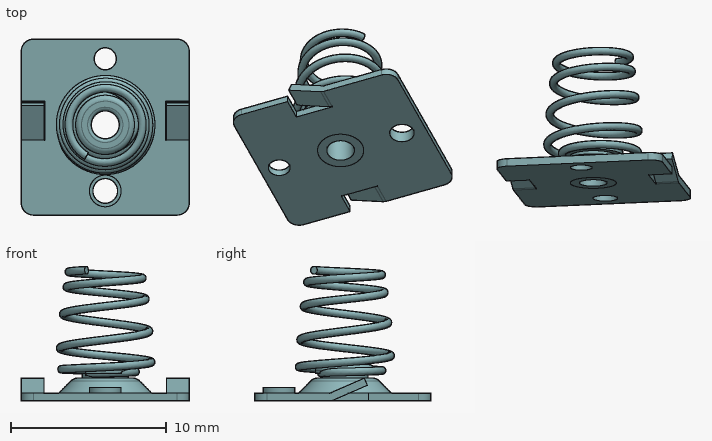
import cadquery as cq
import math

PLATE_WIDTH = 10.79
PLATE_DEPTH = 11.3
PLATE_THICKNESS = 0.5
CORNER_RADIUS = 0.8

AXIS_Y = 0.15

BOSS_BASE_RADIUS = 3.0
BOSS_TOP_Z = 1.48
BOSS_TOP_RADIUS = BOSS_BASE_RADIUS - (BOSS_TOP_Z - PLATE_THICKNESS)
BOSS_EDGE_RADIUS = 0.68

SIDE_HOLE_OFFSET = 4.24
LOCATING_HOLE_DIAMETER = 1.4
COLLAR_DIAMETER = 2.03
COLLAR_HOLE_DIAMETER = 1.57
COLLAR_TOP_Z = 0.87

NOTCH_WIDTH = 1.51
TAB_WIDTH = 1.47
TAB_HINGE_Y = -0.84
NOTCH_END_Y = 1.65
TAB_LENGTH = 2.42
TAB_ANGLE = math.radians(23.5)

SHANK_DIAMETER = 2.96
BORE_DIAMETER = 1.77
BORE_MOUTH_DIAMETER = 2.26
HEAD_DIAMETER = 3.81
HEAD_BOTTOM_Z = 1.77
HEAD_RIM_HEIGHT = 0.18
HEAD_EDGE_RADIUS = 0.38

WIRE_DIAMETER = 0.5
SPRING_START_ANGLE = 212.0
END_COIL_SWEEP = 360.0
MAIN_COIL_SWEEP = 1467.0
END_COIL_START_RADIUS = 1.22
END_COIL_START_Z = 1.73
COIL_BOTTOM_RADIUS = 2.94
COIL_BOTTOM_Z = 2.06
COIL_TOP_RADIUS = 2.33
COIL_TOP_Z = 8.63 - WIRE_DIAMETER / 2
COIL_BOTTOM_RISE_SLOPE = 2.42
COIL_TOP_RISE_SLOPE = 2.62
COIL_BOTTOM_RADIUS_SLOPE = 0.23
COIL_TOP_RADIUS_SLOPE = 0.0
MIDDLE_LIFT = 0.63
POINT_STEP = 30.0


def axis_cylinder(diameter, y, bottom_z, top_z):
    """Upright cylinder at x = 0."""
    return (
        cq.Workplane("XY", origin=(0, y, bottom_z))
        .circle(diameter / 2)
        .extrude(top_z - bottom_z)
    )


def make_boss():
    """Solid truncated cone with a rounded upper edge."""
    profile = (
        cq.Workplane("XZ")
        .polyline([
            (0, 0),
            (BOSS_BASE_RADIUS, 0),
            (BOSS_BASE_RADIUS, PLATE_THICKNESS),
            (BOSS_TOP_RADIUS, BOSS_TOP_Z),
            (0, BOSS_TOP_Z),
        ])
        .close()
    )
    boss = profile.revolve(360, (0, 0), (0, 1))
    return boss.faces(">Z").edges().fillet(BOSS_EDGE_RADIUS).translate((0, AXIS_Y, 0))


def make_tab(side):
    """Tab tilted up about its hinge line; side is -1 or 1 along X."""
    along = (TAB_LENGTH * math.cos(TAB_ANGLE), TAB_LENGTH * math.sin(TAB_ANGLE))
    down = (PLATE_THICKNESS * math.sin(TAB_ANGLE), -PLATE_THICKNESS * math.cos(TAB_ANGLE))
    hinge = (TAB_HINGE_Y, PLATE_THICKNESS)
    tip = (hinge[0] + along[0], hinge[1] + along[1])
    inner_x = side * (PLATE_WIDTH / 2 - TAB_WIDTH)
    start_x = min(inner_x, side * PLATE_WIDTH / 2)
    return (
        cq.Workplane("YZ", origin=(start_x, 0, 0))
        .polyline([
            hinge,
            tip,
            (tip[0] + down[0], tip[1] + down[1]),
            (hinge[0] + down[0], hinge[1] + down[1]),
            (TAB_HINGE_Y, 0),
        ])
        .close()
        .extrude(TAB_WIDTH)
    )


def make_notch(side):
    """Rectangular cutter that frees the tab on one side."""
    return (
        cq.Workplane("XY")
        .center(side * (PLATE_WIDTH - NOTCH_WIDTH) / 2, (TAB_HINGE_Y + NOTCH_END_Y) / 2)
        .rect(NOTCH_WIDTH, NOTCH_END_Y - TAB_HINGE_Y)
        .extrude(PLATE_THICKNESS)
    )


def make_plate():
    """Plate with boss, collar, side holes, tabs and the hole for the rivet."""
    plate = (
        cq.Workplane("XY")
        .rect(PLATE_WIDTH, PLATE_DEPTH)
        .extrude(PLATE_THICKNESS)
        .edges("|Z")
        .fillet(CORNER_RADIUS)
    )
    collar_y = AXIS_Y - SIDE_HOLE_OFFSET
    locating_y = AXIS_Y + SIDE_HOLE_OFFSET
    plate = plate.union(make_boss())
    plate = plate.union(axis_cylinder(COLLAR_DIAMETER, collar_y, 0, COLLAR_TOP_Z))
    plate = plate.cut(axis_cylinder(COLLAR_HOLE_DIAMETER, collar_y, 0, COLLAR_TOP_Z))
    plate = plate.cut(axis_cylinder(LOCATING_HOLE_DIAMETER, locating_y, 0, PLATE_THICKNESS))
    plate = plate.cut(axis_cylinder(SHANK_DIAMETER, AXIS_Y, 0, BOSS_TOP_Z))
    for side in (-1, 1):
        plate = plate.cut(make_notch(side)).union(make_tab(side))
    return plate


def make_rivet(spring):
    """Hollow rivet with a domed head and a groove that holds the first coil."""
    rim_z = HEAD_BOTTOM_Z + HEAD_RIM_HEIGHT
    head_top_z = rim_z + HEAD_EDGE_RADIUS
    mouth_radius = (BORE_MOUTH_DIAMETER - BORE_DIAMETER) / 2
    shank = axis_cylinder(SHANK_DIAMETER, AXIS_Y, 0, HEAD_BOTTOM_Z)
    head = axis_cylinder(HEAD_DIAMETER, AXIS_Y, HEAD_BOTTOM_Z, head_top_z)
    head = head.faces(">Z").edges().fillet(HEAD_EDGE_RADIUS)
    bore = axis_cylinder(BORE_DIAMETER, AXIS_Y, 0, head_top_z)
    rivet = shank.union(head).cut(bore)
    mouth_edge = rivet.faces(">Z").edges(cq.selectors.RadiusNthSelector(0))
    rivet = mouth_edge.fillet(mouth_radius)
    return rivet.cut(spring)


def cubic_blend(start, end, start_slope, end_slope, t):
    """Cubic from start to end with the given slopes, for t from 0 to 1."""
    rise = end - start
    square_term = 3 * rise - 2 * start_slope - end_slope
    cube_term = start_slope + end_slope - 2 * rise
    return start + start_slope * t + square_term * t**2 + cube_term * t**3


def wire_point(turned):
    """Wire centre after turning by an angle in degrees from the lower end."""
    if turned <= END_COIL_SWEEP:
        t = turned / END_COIL_SWEEP
        radius = END_COIL_START_RADIUS + t * (COIL_BOTTOM_RADIUS - END_COIL_START_RADIUS)
        z = END_COIL_START_Z + t * (COIL_BOTTOM_Z - END_COIL_START_Z)
    else:
        t = (turned - END_COIL_SWEEP) / MAIN_COIL_SWEEP
        radius = cubic_blend(
            COIL_BOTTOM_RADIUS, COIL_TOP_RADIUS, COIL_BOTTOM_RADIUS_SLOPE, COIL_TOP_RADIUS_SLOPE, t
        )
        z = cubic_blend(COIL_BOTTOM_Z, COIL_TOP_Z, COIL_BOTTOM_RISE_SLOPE, COIL_TOP_RISE_SLOPE, t)
        z += MIDDLE_LIFT * (4 * t * (1 - t)) ** 2
    angle = math.radians(SPRING_START_ANGLE + turned)
    return cq.Vector(radius * math.cos(angle), AXIS_Y + radius * math.sin(angle), z)


def make_spring():
    """Round wire swept along the coil path."""
    total_sweep = END_COIL_SWEEP + MAIN_COIL_SWEEP
    steps = round(total_sweep / POINT_STEP)
    points = [wire_point(total_sweep * i / steps) for i in range(steps + 1)]
    path = cq.Edge.makeSpline(points)
    start_plane = cq.Plane(origin=points[0], normal=path.tangentAt(0))
    return cq.Workplane(start_plane).circle(WIRE_DIAMETER / 2).sweep(cq.Workplane(path), isFrenet=True)


spring = make_spring()
plate = make_plate()
rivet = make_rivet(spring)

result = cq.Compound.makeCompound([plate.solids().val(), rivet.solids().val(), spring.val()])